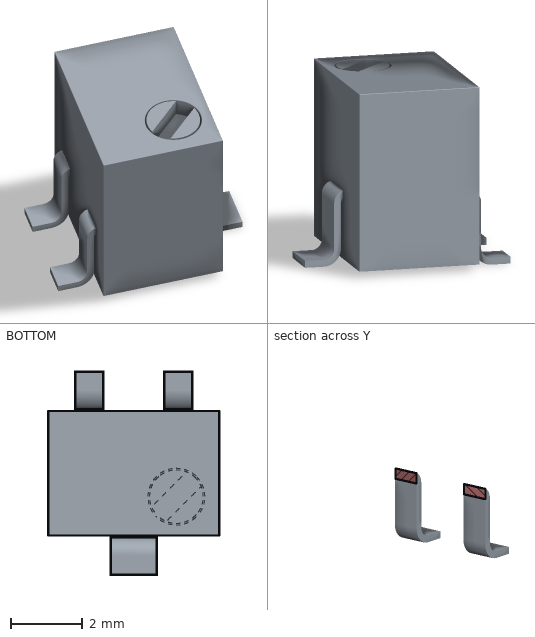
import cadquery as cq
import math

OVERALL_LENGTH = 5.7
OVERALL_HEIGHT = 5.3
HOUSING_WIDTH = 4.8
HOUSING_DEPTH = 3.5
HOUSING_EDGE_RADIUS = 0.02

LEAD_THICKNESS = 0.2
LEAD_GAP = 0.05
FOOT_BEND_RADIUS = 0.5
TOP_BEND_RADIUS = 0.365
TOP_BEND_START = 1.81
FRONT_LEAD_WIDTH = 0.8
FRONT_LEAD_PITCH = 2.495
REAR_LEAD_WIDTH = 1.3

SCREW_X = 1.195
SCREW_Y = 0.655
SCREW_RADIUS = 0.75
SCREW_DEPTH = 1.0
SCREW_CLEARANCE = 0.045
RECESS_EDGE_RADIUS = 0.02
SLOT_WIDTH = 0.58
SLOT_DEPTH = 0.5
SLOT_ANGLE = -45.0

HOUSING_FACE = HOUSING_DEPTH / 2
HOUSING_HEIGHT = OVERALL_HEIGHT - LEAD_THICKNESS


def make_housing():
    block = (
        cq.Workplane("XY")
        .box(HOUSING_WIDTH, HOUSING_DEPTH, HOUSING_HEIGHT, centered=(True, True, False))
        .translate((0, 0, LEAD_THICKNESS))
        .edges("|Z or >Z")
        .fillet(HOUSING_EDGE_RADIUS)
    )
    recess = (
        cq.Workplane("XY", origin=(SCREW_X, SCREW_Y, OVERALL_HEIGHT))
        .circle(SCREW_RADIUS + SCREW_CLEARANCE)
        .extrude(-SCREW_DEPTH)
    )
    rim = cq.selectors.RadiusNthSelector(0)
    return block.cut(recess).faces(">Z").edges(rim).fillet(RECESS_EDGE_RADIUS)


def make_screw():
    body = cq.Workplane("XY").circle(SCREW_RADIUS).extrude(-SCREW_DEPTH)
    slot = (
        cq.Workplane("XY")
        .rect(2 * SCREW_RADIUS, SLOT_WIDTH)
        .extrude(-SLOT_DEPTH)
        .rotate((0, 0, 0), (0, 0, 1), SLOT_ANGLE)
    )
    return body.cut(slot).translate((SCREW_X, SCREW_Y, OVERALL_HEIGHT))


def on_arc(center, radius, degrees):
    angle = math.radians(degrees)
    return center[0] + radius * math.cos(angle), center[1] + radius * math.sin(angle)


def make_lead(width):
    """Lead centred on X = 0 at the +Y side: flat foot, upright strip, top curving into the housing face."""
    tip = OVERALL_LENGTH / 2
    inner = HOUSING_FACE + LEAD_GAP
    outer = inner + LEAD_THICKNESS
    foot_center = (inner + FOOT_BEND_RADIUS, FOOT_BEND_RADIUS)
    foot_inside_radius = FOOT_BEND_RADIUS - LEAD_THICKNESS
    top_center = (outer - TOP_BEND_RADIUS, TOP_BEND_START)
    top_inside_radius = TOP_BEND_RADIUS - LEAD_THICKNESS

    bend_run = HOUSING_FACE - top_center[0]
    outside_angle = math.degrees(math.acos(bend_run / TOP_BEND_RADIUS))
    inside_angle = math.degrees(math.acos(bend_run / top_inside_radius))

    profile = (
        cq.Workplane("YZ", origin=(-width / 2, 0, 0))
        .moveTo(tip, 0)
        .lineTo(foot_center[0], 0)
        .threePointArc(on_arc(foot_center, FOOT_BEND_RADIUS, 225), (inner, foot_center[1]))
        .lineTo(inner, TOP_BEND_START)
        .threePointArc(
            on_arc(top_center, top_inside_radius, inside_angle / 2),
            on_arc(top_center, top_inside_radius, inside_angle),
        )
        .lineTo(*on_arc(top_center, TOP_BEND_RADIUS, outside_angle))
        .threePointArc(
            on_arc(top_center, TOP_BEND_RADIUS, outside_angle / 2),
            (outer, TOP_BEND_START),
        )
        .lineTo(outer, foot_center[1])
        .threePointArc(
            on_arc(foot_center, foot_inside_radius, 225),
            (foot_center[0], LEAD_THICKNESS),
        )
        .lineTo(tip, LEAD_THICKNESS)
        .close()
    )
    return profile.extrude(width)


housing = make_housing()
screw = make_screw()
rear_lead = make_lead(REAR_LEAD_WIDTH)

front_leads = []
for side in (-1, 1):
    lead = make_lead(FRONT_LEAD_WIDTH).rotate((0, 0, 0), (0, 0, 1), 180)
    front_leads.append(lead.translate((side * FRONT_LEAD_PITCH / 2, 0, 0)))

result = cq.Compound.makeCompound(
    [housing.val(), screw.val(), rear_lead.val(), *[lead.val() for lead in front_leads]]
)